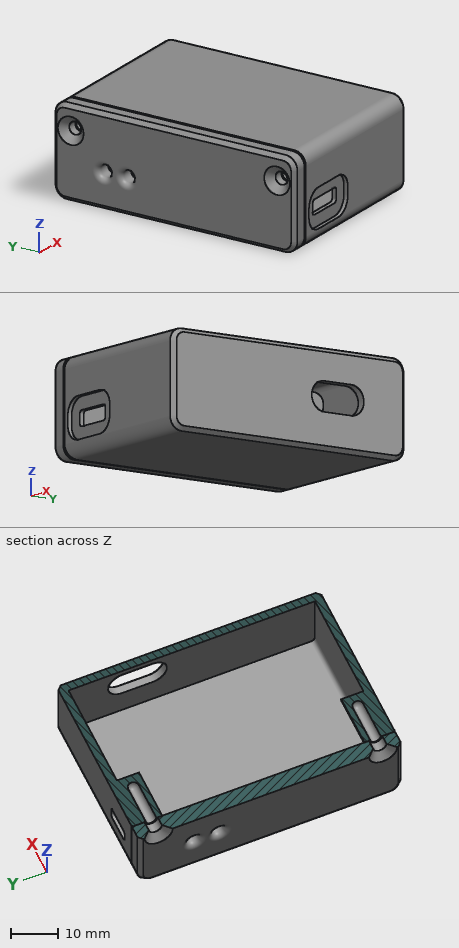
import cadquery as cq

LENGTH_X = 43.5
WIDTH_Y = 61.0
HEIGHT_Z = 22.2
CORNER_RADIUS = 3.0
END_CHAMFER = 1.0
SEAM_CHAMFER = 0.25
WALL = 2.0
LID_THICKNESS = 4.0

SCREW_Y = 26.0
SCREW_Z = 5.2
CLEARANCE_DIAMETER = 3.0
COUNTERSINK_DIAMETER = 6.45
COUNTERSINK_ANGLE = 90.0
PILOT_DIAMETER = 2.4
PILOT_DEPTH = 9.15
BOSS_DIAMETER = 5.25
BOSS_LENGTH = 12.2

LIGHT_DIAMETER = 3.0
LIGHT_MOUTH_DIAMETER = 5.55
LIGHT_YS = (17.7, 11.9)
LIGHT_Z = -2.55

SLOT_X = -8.65
SLOT_Z = -3.2
SLOT_LENGTH = 9.2
SLOT_HEIGHT = 3.55
SLOT_RADIUS = 0.75
RECESS_MARGIN = 3.0
RECESS_DEPTH = 1.0

WINDOW_MIN_X = -14.1
WINDOW_MAX_X = -7.0
WINDOW_TOP_Z = -1.9
WINDOW_BOTTOM_Z = SLOT_Z - SLOT_HEIGHT / 2
WINDOW_RADIUS = 0.75

PORT_MIN_Y = 5.8
PORT_MAX_Y = 19.4
PORT_BOTTOM_Z = -2.85
PORT_HEIGHT = 6.7

MIN_X = -LENGTH_X / 2
MAX_X = LENGTH_X / 2
MIN_Y = -WIDTH_Y / 2
MAX_Y = WIDTH_Y / 2
SEAM_X = MIN_X + LID_THICKNESS
SCREW_POINTS = [(-SCREW_Y, SCREW_Z), (SCREW_Y, SCREW_Z)]
LIGHT_POINTS = [(y, LIGHT_Z) for y in LIGHT_YS]


def yz_plane(x):
    """Sketch plane at x, with local axes Y and Z and +X as its normal."""
    return cq.Workplane("YZ", origin=(x, 0, 0))


def rounded_bar(min_x, max_x, inset=0.0):
    """Bar along X with the case outline, moved inwards by inset."""
    return (
        yz_plane(min_x)
        .rect(WIDTH_Y - 2 * inset, HEIGHT_Z - 2 * inset)
        .extrude(max_x - min_x)
        .edges("|X")
        .fillet(CORNER_RADIUS - inset)
    )


def round_bars(points, diameter, min_x, length):
    """Round bars along X from min_x, centred on (y, z) points."""
    return yz_plane(min_x).pushPoints(points).circle(diameter / 2).extrude(length)


def y_wall_cutter(min_y, depth, center_x, center_z, length, height, radius):
    """Rounded rectangular block that cuts a Y wall from min_y for depth."""
    return (
        cq.Workplane("XY")
        .box(length, depth, height)
        .edges("|Y")
        .fillet(radius)
        .translate((center_x, min_y + depth / 2, center_z))
    )


def make_lid():
    plate = rounded_bar(MIN_X, SEAM_X)
    plate = plate.faces("<X").chamfer(END_CHAMFER)
    plate = plate.faces(">X").chamfer(SEAM_CHAMFER)

    plate = plate.cut(round_bars(LIGHT_POINTS, LIGHT_DIAMETER, MIN_X, LID_THICKNESS))
    mouth_radius = (LIGHT_MOUTH_DIAMETER - LIGHT_DIAMETER) / 2
    plate = plate.faces("<X").edges(cq.selectors.RadiusNthSelector(0)).fillet(mouth_radius)

    outer_face = cq.Workplane(cq.Plane(origin=(MIN_X, 0, 0), xDir=(0, -1, 0), normal=(-1, 0, 0)))
    return (
        plate.copyWorkplane(outer_face)
        .pushPoints([(-y, z) for y, z in SCREW_POINTS])
        .cskHole(CLEARANCE_DIAMETER, COUNTERSINK_DIAMETER, COUNTERSINK_ANGLE)
    )


def make_shell():
    outside = rounded_bar(SEAM_X, MAX_X)
    outside = outside.faces(">X").chamfer(END_CHAMFER)
    outside = outside.faces("<X").chamfer(SEAM_CHAMFER)
    return outside.cut(rounded_bar(SEAM_X, MAX_X - WALL, WALL))


def add_screw_bosses(shell):
    bosses = round_bars(SCREW_POINTS, BOSS_DIAMETER, SEAM_X, BOSS_LENGTH)
    pilots = round_bars(SCREW_POINTS, PILOT_DIAMETER, SEAM_X, PILOT_DEPTH)
    pilot_ends = yz_plane(SEAM_X + PILOT_DEPTH).pushPoints(SCREW_POINTS).sphere(PILOT_DIAMETER / 2)
    return shell.union(bosses).cut(pilots).cut(pilot_ends)


def cut_plug_slot(shell):
    slot = y_wall_cutter(MIN_Y, WALL, SLOT_X, SLOT_Z, SLOT_LENGTH, SLOT_HEIGHT, SLOT_RADIUS)
    recess = y_wall_cutter(
        MIN_Y, RECESS_DEPTH, SLOT_X, SLOT_Z,
        SLOT_LENGTH + 2 * RECESS_MARGIN,
        SLOT_HEIGHT + 2 * RECESS_MARGIN,
        SLOT_RADIUS + RECESS_MARGIN,
    )
    return shell.cut(slot).cut(recess)


def cut_window(shell):
    window = y_wall_cutter(
        MAX_Y - WALL, WALL,
        (WINDOW_MIN_X + WINDOW_MAX_X) / 2,
        (WINDOW_TOP_Z + WINDOW_BOTTOM_Z) / 2,
        WINDOW_MAX_X - WINDOW_MIN_X,
        WINDOW_TOP_Z - WINDOW_BOTTOM_Z,
        WINDOW_RADIUS,
    )
    return shell.cut(window)


def cut_port(shell):
    port = (
        yz_plane(MAX_X - WALL)
        .center((PORT_MIN_Y + PORT_MAX_Y) / 2, PORT_BOTTOM_Z + PORT_HEIGHT / 2)
        .slot2D(PORT_MAX_Y - PORT_MIN_Y, PORT_HEIGHT)
        .extrude(WALL)
    )
    return shell.cut(port)


def make_housing():
    housing = make_shell()
    housing = add_screw_bosses(housing)
    housing = cut_plug_slot(housing)
    housing = cut_window(housing)
    return cut_port(housing)


lid = make_lid()
housing = make_housing()
result = cq.Compound.makeCompound([lid.val(), housing.val()])